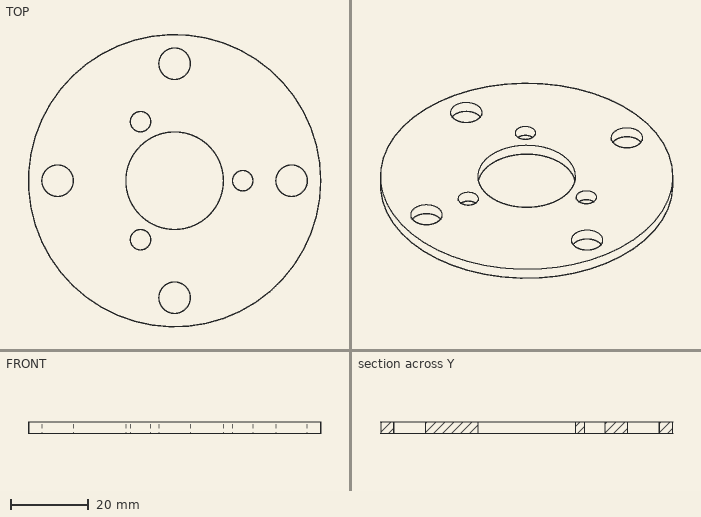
import cadquery as cq

disc_diameter = 75.0
disc_thickness = 3.0
bore_diameter = 25.0

outer_hole_count = 4
outer_hole_diameter = 8.0
outer_circle_radius = 30.0

inner_hole_count = 3
inner_hole_diameter = 5.2
inner_circle_radius = 17.5


def cut_hole_ring(body, count, hole_diameter, circle_radius):
    """Cut evenly spaced through holes, the first one on the +X axis."""
    return (
        body.faces(">Z")
        .workplane(origin=(0, 0, 0))
        .polarArray(circle_radius, 0, 360, count)
        .hole(hole_diameter)
    )


disc = (
    cq.Workplane("XY")
    .circle(disc_diameter / 2)
    .circle(bore_diameter / 2)
    .extrude(disc_thickness)
)
disc = cut_hole_ring(disc, outer_hole_count, outer_hole_diameter, outer_circle_radius)
result = cut_hole_ring(disc, inner_hole_count, inner_hole_diameter, inner_circle_radius)